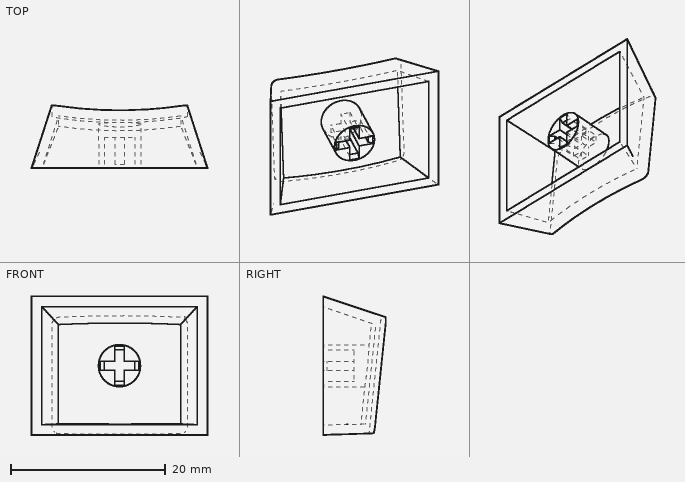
import cadquery as cq
import math

BASE_WIDTH = 22.85
BASE_HEIGHT = 18.0

CROWN_WIDTH = 17.6
CROWN_REAR_Y = 8.21
CROWN_REAR_Z = 6.27
CROWN_FRONT_Y = 6.65
CROWN_FRONT_Z = -8.78
CROWN_CORNER_RADIUS = 1.0
BASE_CORNER_RADIUS = 0.01
DISH_DEPTH = 0.73

RIM_THICKNESS = 1.35
CEILING_WIDTH = 15.84
CEILING_REAR_Y = 6.8
CEILING_REAR_Z = 5.33
CEILING_FRONT_Y = 5.46
CEILING_FRONT_Z = -7.55

STEM_DIAMETER = 5.45
SLOT_DEPTH = 4.0
SLOT_LEAD_IN = 0.5
CROSS_WIDE_LENGTH = 4.0
CROSS_WIDE_THICKNESS = 1.17
CROSS_TALL_LENGTH = 4.1
CROSS_TALL_THICKNESS = 1.25

DISH_RADIUS = ((CROWN_WIDTH / 2) ** 2 + DISH_DEPTH ** 2) / (2 * DISH_DEPTH)


def base_plane():
    """Plane of the open face, with local axes along X and Z."""
    return cq.Plane(origin=(0, 0, 0), xDir=(1, 0, 0), normal=(0, -1, 0))


def tilted_plane(rear, front):
    """Plane through a rear and a front edge given as (y, z), centred between them.

    Local x runs along X, local y from front to rear, and the normal points into the part.
    """
    rise = rear[0] - front[0]
    run = rear[1] - front[1]
    middle = (0, (rear[0] + front[0]) / 2, (rear[1] + front[1]) / 2)
    return cq.Plane(origin=middle, xDir=(1, 0, 0), normal=(0, -run, rise))


def rectangle_wire(plane, width, height, corner_radius=0.0):
    """Rectangle centred on a plane, with optional rounded corners."""
    face = cq.Face.makePlane(height, width)
    if corner_radius > 0:
        face = face.fillet2D(corner_radius, face.Vertices())
    return face.outerWire().moved(plane.location)


def dish(top_plane, width):
    """Cylinder along the tilted length, passing through both side edges of the top."""
    lift = math.sqrt(DISH_RADIUS ** 2 - (width / 2) ** 2)
    length = 2 * BASE_HEIGHT
    axis_plane = cq.Plane(
        origin=top_plane.toWorldCoords((0, -length / 2, -lift)),
        xDir=(1, 0, 0),
        normal=top_plane.yDir,
    )
    return cq.Workplane(axis_plane).circle(DISH_RADIUS).extrude(length)


def tapered_body(base_inset, base_radius, top_width, top_rear, top_front, top_radius):
    """Straight-walled loft from the open face to a tilted top, hollowed by the finger dish."""
    top_plane = tilted_plane(top_rear, top_front)
    top_length = math.dist(top_rear, top_front)
    base_width = BASE_WIDTH - 2 * base_inset
    base_height = BASE_HEIGHT - 2 * base_inset
    base = rectangle_wire(base_plane(), base_width, base_height, base_radius)
    top = rectangle_wire(top_plane, top_width, top_length, top_radius)
    body = cq.Workplane(cq.Solid.makeLoft([base, top], True))
    return body.cut(dish(top_plane, top_width))


def outer_body():
    """Solid keycap whose corner rounding grows from the base to the crown."""
    return tapered_body(
        base_inset=0,
        base_radius=BASE_CORNER_RADIUS,
        top_width=CROWN_WIDTH,
        top_rear=(CROWN_REAR_Y, CROWN_REAR_Z),
        top_front=(CROWN_FRONT_Y, CROWN_FRONT_Z),
        top_radius=CROWN_CORNER_RADIUS,
    )


def cavity():
    """Sharp-cornered hollow, tapering from the open face to the ceiling."""
    return tapered_body(
        base_inset=RIM_THICKNESS,
        base_radius=0,
        top_width=CEILING_WIDTH,
        top_rear=(CEILING_REAR_Y, CEILING_REAR_Z),
        top_front=(CEILING_FRONT_Y, CEILING_FRONT_Z),
        top_radius=0,
    )


def stem():
    """Round post from the open face, long enough to reach through the ceiling."""
    return cq.Workplane(base_plane()).circle(STEM_DIAMETER / 2).extrude(-CROWN_REAR_Y)


def slot(length, thickness, plane):
    """Straight slot whose two ends flare outwards at the mouth; plane local y points into the part."""
    half = length / 2
    mouth = half + SLOT_LEAD_IN
    profile = [
        (-mouth, 0),
        (mouth, 0),
        (half, SLOT_LEAD_IN),
        (half, SLOT_DEPTH),
        (-half, SLOT_DEPTH),
        (-half, SLOT_LEAD_IN),
    ]
    return cq.Workplane(plane).polyline(profile).close().extrude(thickness / 2, both=True)


def cross_socket():
    """Cross-shaped pocket made of two crossing slots."""
    wide = slot(CROSS_WIDE_LENGTH, CROSS_WIDE_THICKNESS, "XY")
    tall = slot(CROSS_TALL_LENGTH, CROSS_TALL_THICKNESS, "ZY")
    return wide.union(tall)


result = outer_body().cut(cavity().cut(stem())).cut(cross_socket())